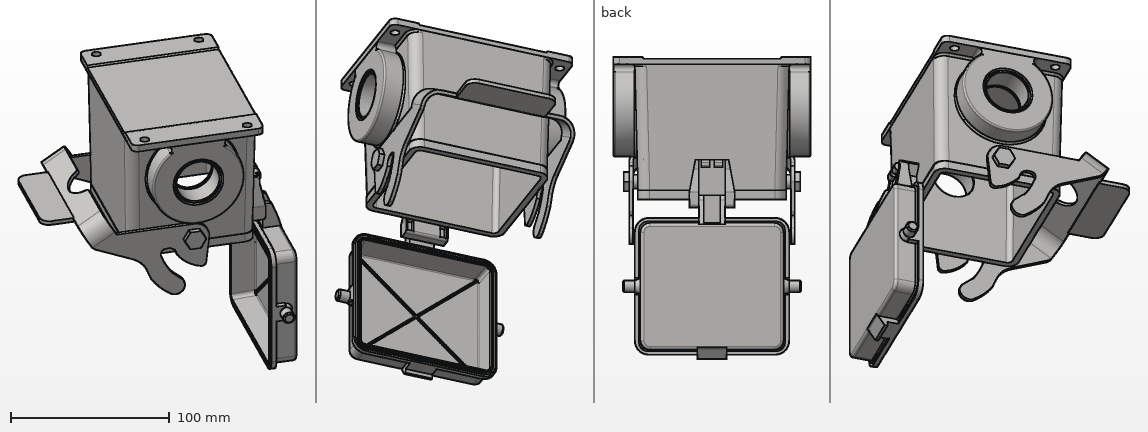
import cadquery as cq
import math


plate_half_x = 62.3
plate_half_y = 85.9 / 2
plate_corner = 4.0
plate_top = 89.9
plate_bottom = 85.3
recess_half_x = 43.0
recess_depth = 1.1
recess_slope = 1.0
screw_x = 56.2
screw_y = 33.5
screw_dia = 5.7

body_top_half = (48.5, 85.5 / 2)
body_rim_half = (46.5, 41.3)
body_corner = 7.2
collar_height = 1.5
rim_band_height = 5.9
rim_band_step = 0.4
wall = 3.8
cavity_top = 85.0

entry_z = 57.0
entry_half_x = 62.0
entry_radius = 29.9
entry_flare = 1.1
entry_flare_length = 1.5
entry_edge = 1.1
lip_dia = 27.0
lip_x = 45.7
bore_dia = 28.0
step_dia = 30.5
step_depth = 1.1
mouth_depth = 0.5
mouth_dia = 32.7
neck_fillet = 2.7

pivot_z = 11.2
lever_half_x = 52.2
sheet = 2.5
lever_eye_radius = 20.0 / 2
stub_dia = 9.0
hex_flats = 12.2
hex_end_x = 55.5
bend_start_y = -52.0
bend_start_z = 23.6
bend_radius = 11.8
handle_width = 17.5
handle_tilt = math.radians(32)
tilt_cos = math.cos(handle_tilt)
tilt_sin = math.sin(handle_tilt)
thumb_radius = 12.2
thumb_offset = 1.1
thumb_edge_round = 2.3
tab_half_x = 30.3
tab_corner = 6.3
tab_root_y = -71.2
tab_end_y = -93.3
tab_bottom = 21.9
tab_thickness = 2.9

cover_z = -54.6
cover_front_y = 51.2
cover_back_y = 69.5
flange_half = (97.3 / 2, 86.2 / 2)
flange_corner = 9.0
flange_thickness = 3.6
flange_back = cover_front_y + flange_thickness
flange_bevel = (0.4, 1.1)
shell_flare = 1.0
shell_half = (90.0 / 2, 79.8 / 2)
shell_corner = 5.7
shell_back_round = 2.0
groove_inset = 2.5
groove_width = 1.1
groove_depth = 1.9
cover_mouth_inset = 4.8
cover_floor_inset = 6.3
cover_floor_round = 0.8
cover_floor_y = 66.8
brace_width = 1.3
brace_height = 0.8
pin_y = 61.1
pin_dia = 7.6
pin_end_x = 56.2
pin_chamfer = 1.0
pin_block_radius = 5.3
latch_half_x = 9.1
cover_bottom = cover_z - flange_half[1]
latch_top = -93.1
latch_bottom = -100.5
latch_tip_y = 62.0
latch_tip_width = 1.9
joint_overlap = 1.0

hook_half_x = 16.5 / 2
hook_front_y = 57.1
hook_web = 2.5
hook_gap_half_x = 10.0 / 2
hook_top = 2.7
arm_half_x = 14.3
arm_top_half_x = 10.5
arm_top = 25.1
arm_knee_z = 4.8
arm_bottom = -5.1
arm_front_y = 48.7
arm_back_y = 57.3
arm_top_back_y = 54.5
arm_slope_z = 19.5
arm_knee_front_y = 47.5
arm_corner = 1.7
arm_slot_y = 53.1
bracket_half_x = 10.7
bracket_root_y = 40.0
shelf_edge = 1.0
rib_half_x = 5.7
rib_top = 18.3
rib_bottom = 5.9
pad_inner_x = 1.5
pad_outer_x = 6.9
pad_bottom = 20.2
pad_back_y = 56.4
pad_round = 1.5
pocket_inner_x = 9.0
pocket_outer_x = 13.1
pocket_depth = 3.8
pocket_floor = -3.6


def block(x0, x1, y0, y1, z0, z1):
    return cq.Workplane("XY").box(x1 - x0, y1 - y0, z1 - z0, centered=False).translate((x0, y0, z0))


def rounded(plane, half, corner):
    """Closed rounded rectangle sketched on the given workplane."""
    return plane.sketch().rect(2 * half[0], 2 * half[1]).vertices().fillet(corner).finalize()


def rounded_loft(plane, start_half, end_half, corner, length):
    start = cq.Sketch().rect(2 * start_half[0], 2 * start_half[1]).vertices().fillet(corner)
    end = cq.Sketch().rect(2 * end_half[0], 2 * end_half[1]).vertices().fillet(corner)
    return plane.placeSketch(start, end.moved(cq.Location(cq.Vector(0, 0, length)))).loft()


def grown(half, amount):
    return (half[0] + amount, half[1] + amount)


def both_sides(shape):
    return shape.union(shape.mirror("YZ"))


def along_x(x_start):
    """Workplane whose local axes are Y and Z, starting at x_start."""
    return cq.Workplane("YZ", origin=(x_start, 0, 0))


def rod(x_start, y, z, dia, length):
    """Cylinder along +X."""
    return along_x(x_start).center(y, z).circle(dia / 2).extrude(length)


def cone(x_start, y, z, start_radius, end_radius, length):
    """Truncated cone along +X."""
    return cq.Workplane(
        cq.Solid.makeCone(start_radius, end_radius, length, cq.Vector(x_start, y, z), cq.Vector(1, 0, 0))
    )


def rounded_throat(plane, radius, line, fillet):
    """Sketch the throat that blends a circle at the local origin into a straight line.

    The line is parallel to local X at local Y = line. Each blend arc touches the circle and the line.
    """
    reach = radius + fillet
    fillet_y = line - fillet
    fillet_x = math.sqrt(reach**2 - fillet_y**2)
    touch_x = fillet_x * radius / reach
    touch_y = fillet_y * radius / reach
    middle = (-fillet_x / reach, 1 - fillet_y / reach)
    stretch = fillet / math.hypot(*middle)
    middle_x = fillet_x + stretch * middle[0]
    middle_y = fillet_y + stretch * middle[1]
    return (
        plane.moveTo(-fillet_x, line)
        .lineTo(fillet_x, line)
        .threePointArc((middle_x, middle_y), (touch_x, touch_y))
        .lineTo(-touch_x, touch_y)
        .threePointArc((-middle_x, middle_y), (-fillet_x, line))
        .close()
    )


def make_plate():
    base = cq.Workplane("XY", origin=(0, 0, plate_bottom))
    plate = rounded(base, (plate_half_x, plate_half_y), plate_corner).extrude(plate_top - plate_bottom)
    recess_floor = plate_top - recess_depth
    recess = (
        cq.Workplane("XZ")
        .moveTo(-recess_half_x, recess_floor)
        .lineTo(recess_half_x, recess_floor)
        .lineTo(recess_half_x + recess_slope, plate_top)
        .lineTo(-recess_half_x - recess_slope, plate_top)
        .close()
        .extrude(plate_half_y, both=True)
    )
    screw_holes = (
        base.rect(2 * screw_x, 2 * screw_y, forConstruction=True)
        .vertices()
        .circle(screw_dia / 2)
        .extrude(plate_top - plate_bottom)
    )
    return plate.cut(recess).cut(screw_holes)


def make_body():
    body = rounded_loft(cq.Workplane("XY"), body_rim_half, body_top_half, body_corner, plate_bottom)
    band_half = grown(body_rim_half, rim_band_step)
    band = rounded(cq.Workplane("XY"), band_half, body_corner).extrude(rim_band_height)
    collar_base = plate_bottom - collar_height
    part_way = collar_base / plate_bottom
    collar_start = tuple(rim + (top - rim) * part_way for rim, top in zip(body_rim_half, body_top_half))
    collar_end = (body_top_half[0] + collar_height, body_top_half[1])
    collar = rounded_loft(
        cq.Workplane("XY", origin=(0, 0, collar_base)), collar_start, collar_end, body_corner, collar_height
    )
    return body.union(band).union(collar)


def make_entry():
    """Cable entry boss on the -X side with its filleted neck under the plate."""
    length = entry_half_x - body_rim_half[0] + wall / 2
    boss = rod(-entry_half_x, 0, entry_z, 2 * entry_radius, length)
    boss = boss.faces("<X").edges().fillet(entry_edge)
    boss = boss.intersect(block(-entry_half_x, 0, -entry_radius, entry_radius, 0, plate_bottom))
    neck_plane = along_x(-entry_half_x).center(0, entry_z)
    neck = rounded_throat(neck_plane, entry_radius, plate_bottom - entry_z, neck_fillet).extrude(length)
    flare_start_x = entry_flare - entry_flare_length - body_top_half[0]
    flare = cone(flare_start_x, 0, entry_z, entry_radius, entry_radius + entry_flare, entry_flare_length)
    return boss.union(neck).union(flare)


def make_cavity():
    """Hollow of the housing, open at the rim."""
    rim_half = grown(body_rim_half, -wall)
    top_half = grown(body_top_half, -wall)
    return rounded_loft(cq.Workplane("XY"), rim_half, top_half, body_corner - wall, cavity_top)


def make_bores():
    """Through bore of both cable entries with a stepped, bevelled mouth on each side."""
    lip = rod(-entry_half_x, 0, entry_z, lip_dia, 2 * entry_half_x)
    bore = rod(-entry_half_x, 0, entry_z, bore_dia, entry_half_x - lip_x)
    step = rod(-entry_half_x, 0, entry_z, step_dia, step_depth)
    bevel = cone(-entry_half_x, 0, entry_z, mouth_dia / 2, step_dia / 2, mouth_depth)
    return lip.union(both_sides(bore.union(step).union(bevel)))


def make_lever_arm():
    """Hooked side arm on the -X side with its pivot stub and hexagon head."""
    bend_end = (bend_start_y - handle_width * tilt_cos, bend_start_z - handle_width * tilt_sin)
    eye_top = pivot_z + lever_eye_radius
    eye_slant = lever_eye_radius / math.sqrt(2)
    arm = (
        along_x(-lever_half_x)
        .moveTo(lever_eye_radius, pivot_z)
        .threePointArc((eye_slant, pivot_z + eye_slant), (0, eye_top))
        .lineTo(-50.6, eye_top)
        .lineTo(bend_start_y, bend_start_z)
        .lineTo(*bend_end)
        .lineTo(-64.7, 12.5)
        .lineTo(-40.2, 1.7)
        .threePointArc((-35.0, -1.7), (-31.2, -6.9))
        .lineTo(-28.0, -14.7)
        .threePointArc((-22.3, -21.5), (-15.0, -27.2))
        .threePointArc((-8.0, -26.5), (-7.5, -17.9))
        .lineTo(-14.7, -11.6)
        .threePointArc((-18.0, -6.5), (-21.3, 0.8))
        .threePointArc((-21.3, 4.4), (-18.3, 6.0))
        .lineTo(-15.8, 6.0)
        .threePointArc((-13.3, 4.8), (-11.2, 0.5))
        .threePointArc((-6.0, -4.8), (0.8, -9.0))
        .lineTo(4.0, -9.9)
        .threePointArc((6.5, -9.7), (8.0, -7.5))
        .close()
        .extrude(sheet)
    )
    stub = rod(-lever_half_x, 0, pivot_z, stub_dia, lever_half_x - body_rim_half[0] + wall / 2)
    hex_corners = hex_flats / math.cos(math.radians(30))
    head = along_x(-hex_end_x).center(0, pivot_z).polygon(6, hex_corners).extrude(hex_end_x - lever_half_x)
    return arm.union(stub).union(head)


def bent_outline(plane, half_x, radius):
    """Area under a bend: two upright quarter rounds joined by a straight top."""
    flat_half_x = half_x - radius
    slant = radius * math.sqrt(0.5)
    return (
        plane.moveTo(-half_x, 0)
        .threePointArc((-flat_half_x - slant, slant), (-flat_half_x, radius))
        .lineTo(flat_half_x, radius)
        .threePointArc((flat_half_x + slant, slant), (half_x, 0))
        .close()
    )


def make_handle():
    """Bent cross strip with its thumb notch and flat pull tab."""
    bend_start = (0, bend_start_y, bend_start_z)
    across = cq.Workplane(cq.Plane(origin=bend_start, xDir=(1, 0, 0), normal=(0, -tilt_cos, -tilt_sin)))
    outside = bent_outline(across, lever_half_x, bend_radius).extrude(handle_width)
    inside = bent_outline(across, lever_half_x - sheet, bend_radius - sheet).extrude(handle_width)
    strip = outside.cut(inside)

    flat = cq.Plane(origin=bend_start, xDir=(1, 0, 0), normal=(0, -tilt_sin, tilt_cos))
    notch_plane = cq.Workplane(flat).center(0, thumb_offset)
    notch = notch_plane.circle(thumb_radius).extrude(2 * bend_radius)
    throat = rounded_throat(notch_plane, thumb_radius, -thumb_offset, thumb_edge_round)
    throat = throat.extrude(2 * bend_radius)
    strip = strip.cut(notch).cut(throat)
    tab = block(-tab_half_x, tab_half_x, tab_end_y, tab_root_y, tab_bottom, tab_bottom + tab_thickness)
    tab = tab.edges("|Z and <Y").fillet(tab_corner)
    return strip.union(tab)


def make_cover():
    """Cover shell with sealing groove, diagonal braces, pins and bottom latch."""
    front = cq.Workplane("XZ", origin=(0, cover_front_y, cover_z))
    flange = rounded(front, flange_half, flange_corner).extrude(-flange_thickness)
    flange = flange.faces("<Y").edges().chamfer(*flange_bevel)
    flare = rounded_loft(
        cq.Workplane("XZ", origin=(0, flange_back + shell_flare, cover_z)),
        shell_half, grown(shell_half, shell_flare), shell_corner, shell_flare,
    )
    shell = rounded(front, shell_half, shell_corner).extrude(cover_front_y - cover_back_y)
    shell = shell.faces(">Y").edges().fillet(shell_back_round)

    mouth_half = grown(flange_half, -cover_mouth_inset)
    floor_half = grown(flange_half, -cover_floor_inset)
    cavity = rounded_loft(
        cq.Workplane("XZ", origin=(0, cover_floor_y, cover_z)),
        floor_half, mouth_half, flange_corner - cover_floor_inset, cover_floor_y - cover_front_y,
    )
    cavity = cavity.faces(">Y").edges().fillet(cover_floor_round)
    groove_outer = rounded(front, grown(flange_half, -groove_inset), flange_corner - groove_inset)
    groove_inner_inset = groove_inset + groove_width
    groove_inner_half = grown(flange_half, -groove_inner_inset)
    groove_inner = rounded(front, groove_inner_half, flange_corner - groove_inner_inset)
    groove = groove_outer.extrude(-groove_depth).cut(groove_inner.extrude(-groove_depth))

    brace_length = 2 * math.hypot(*floor_half)
    brace_angle = math.degrees(math.atan2(floor_half[1], floor_half[0]))
    brace_base = cq.Workplane("XZ", origin=(0, cover_floor_y, cover_z))
    braces = cq.Workplane("XY")
    for angle in (brace_angle, -brace_angle):
        braces = braces.union(
            brace_base.transformed(rotate=(0, 0, angle))
            .rect(brace_length, brace_width)
            .extrude(brace_height)
        )
    cover = flange.union(shell).union(flare).cut(cavity).cut(groove).union(braces.intersect(cavity))
    return cover.union(both_sides(make_cover_pin())).union(make_cover_latch())


def make_cover_pin():
    root_x = shell_half[0] - joint_overlap
    pin = rod(-pin_end_x, pin_y, cover_z, pin_dia, pin_end_x - root_x)
    pin = pin.faces("<X").edges().chamfer(pin_chamfer)
    pad_length = flange_half[0] - root_x
    pad = cone(-flange_half[0], pin_y, cover_z, pin_dia / 2, pin_block_radius, pad_length)
    arm = block(
        -flange_half[0], -root_x, flange_back, pin_y, cover_z - pin_block_radius, cover_z + pin_block_radius
    )
    return pin.union(pad).union(arm)


def make_cover_latch():
    return (
        along_x(-latch_half_x)
        .moveTo(cover_back_y, latch_top)
        .lineTo(latch_tip_y + latch_tip_width, latch_bottom)
        .lineTo(latch_tip_y, latch_bottom)
        .lineTo(latch_tip_y, cover_bottom)
        .lineTo(flange_back, cover_bottom)
        .lineTo(flange_back, latch_top)
        .close()
        .extrude(2 * latch_half_x)
    )


def make_hook():
    """Ribbed hook on top of the cover that reaches behind the hinge arm."""
    root_z = cover_z + shell_half[1] - joint_overlap
    hook = (
        along_x(-hook_half_x)
        .moveTo(cover_back_y, root_z)
        .threePointArc((67.0, -7.6), (64.0, 0))
        .threePointArc((62.8, 1.9), (61.0, hook_top))
        .lineTo(hook_front_y, hook_top)
        .lineTo(hook_front_y, root_z)
        .close()
        .extrude(2 * hook_half_x)
    )
    gap = block(
        -hook_gap_half_x, hook_gap_half_x, hook_front_y + hook_web, cover_back_y,
        cover_z + shell_half[1], hook_top,
    )
    return hook.cut(gap)


def make_hinge():
    """Hinge bracket on the +Y side of the housing, with the wide arm that carries the cover."""
    corner_inset = arm_corner * (1 - math.sqrt(0.5))
    arm_profile = (
        along_x(-arm_half_x)
        .moveTo(arm_front_y, arm_top)
        .lineTo(arm_top_back_y, arm_top)
        .lineTo(arm_top_back_y, arm_slope_z)
        .lineTo(arm_back_y, arm_knee_z)
        .lineTo(arm_back_y, arm_bottom + arm_corner)
        .threePointArc(
            (arm_back_y - corner_inset, arm_bottom + corner_inset), (arm_back_y - arm_corner, arm_bottom)
        )
        .lineTo(arm_front_y + arm_corner, arm_bottom)
        .threePointArc(
            (arm_front_y + corner_inset, arm_bottom + corner_inset), (arm_front_y, arm_bottom + arm_corner)
        )
        .lineTo(arm_front_y, arm_knee_z)
        .lineTo(arm_knee_front_y, arm_knee_z)
        .lineTo(arm_front_y, arm_slope_z)
        .close()
        .extrude(2 * arm_half_x)
    )
    arm_outline = (
        cq.Workplane("XZ", origin=(0, arm_back_y, 0))
        .moveTo(-arm_top_half_x, arm_top)
        .lineTo(arm_top_half_x, arm_top)
        .lineTo(arm_half_x, arm_knee_z)
        .lineTo(arm_half_x, arm_bottom)
        .lineTo(-arm_half_x, arm_bottom)
        .lineTo(-arm_half_x, arm_knee_z)
        .close()
        .extrude(arm_back_y - arm_knee_front_y)
    )
    slot = block(-hook_half_x, hook_half_x, arm_slot_y, arm_back_y, hook_top, arm_top)
    pocket = block(
        -pocket_outer_x, -pocket_inner_x, arm_front_y, arm_front_y + pocket_depth, pocket_floor, arm_knee_z
    )
    arm = arm_profile.intersect(arm_outline).cut(slot).cut(both_sides(pocket))

    bracket = (
        cq.Workplane("XZ", origin=(0, arm_slot_y, 0))
        .moveTo(-bracket_half_x, arm_top)
        .lineTo(bracket_half_x, arm_top)
        .lineTo(bracket_half_x, arm_top - shelf_edge)
        .lineTo(rib_half_x, rib_top)
        .lineTo(rib_half_x, rib_bottom)
        .lineTo(-rib_half_x, rib_bottom)
        .lineTo(-rib_half_x, rib_top)
        .lineTo(-bracket_half_x, arm_top - shelf_edge)
        .close()
        .extrude(arm_slot_y - bracket_root_y)
    )
    pad = block(-pad_outer_x, -pad_inner_x, arm_slot_y, pad_back_y, pad_bottom, arm_top)
    pad = pad.edges("|X and >Y").fillet(pad_round)
    return arm.union(bracket).union(both_sides(pad))


housing = make_plate().union(make_body()).union(both_sides(make_entry()))
housing = housing.cut(make_cavity()).cut(make_bores())
lever = both_sides(make_lever_arm()).union(make_handle())
cover = make_cover().union(make_hook())
result = housing.union(lever).union(make_hinge()).union(cover)